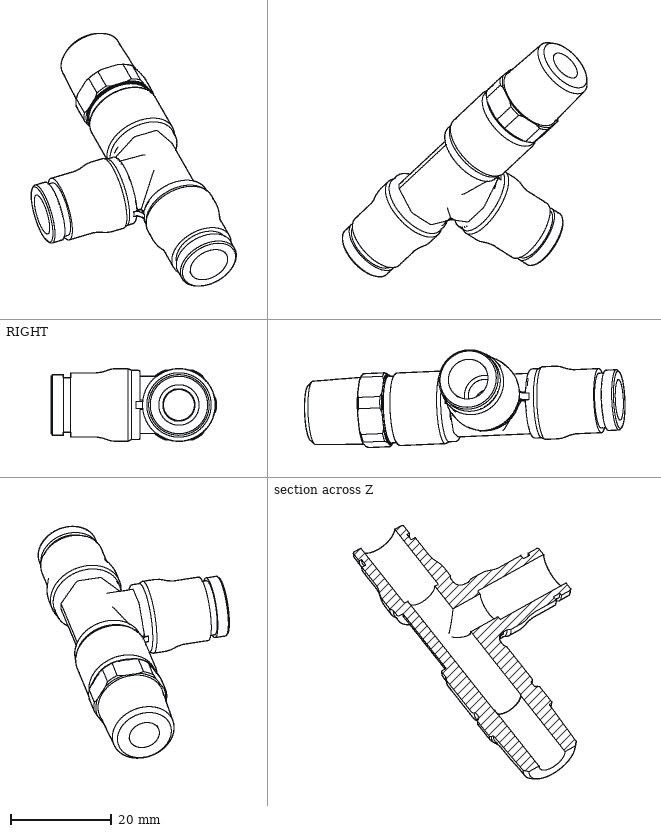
import cadquery as cq
import math

total_length = 62.95
port_reach = 25.5
tee_x = total_length - port_reach

collar_start = 7.75
collar_edge = 0.4
collar_radius = 6.9
sleeve_step_start = 9.45
sleeve_start = 10.2
sleeve_diameter = 14.55
sleeve_radius = sleeve_diameter / 2
taper_start = 12.7
taper_end = 16.5
barrel_radius = 6.4
barrel_end = 21.6
groove_radius = 5.5
head_start = 23.05
head_radius = 6.05
head_chamfer = 0.3
tube_radius = 4.0
tube_depth = 15.75
port_bore_radius = 3.2

stub_chamfer_length = 0.9
stub_face_radius = 5.55
thread_start_radius = 6.35
gauge_x = 5.9
gauge_radius = 6.55
hex_start = 11.1
thread_end_radius = 6.75
hex_end = 16.05
washer_end = 16.3
washer_radius = 6.9
neck_end = 17.7
neck_radius = 6.7
neck_fillet = 0.25
body_rounding = 0.55
stub_bore_radius = 3.1

hex_across_flats = 14.0
hex_corner_radius = 7.5
hex_chamfer = 0.3

web_thickness = 1.4
web_corner_radius = 1.65

bar_half_height = 5.7
bar_flat_half = 2.45
bar_edge_fillet = 0.8
inner_reach = 6.9
inner_side_height = 1.9
back_reach = 5.7
back_side_height = web_thickness


def turned(profile):
    """Revolve a (distance, radius) outline that starts and ends on the axis about X."""
    return profile.close().revolve(360, (0, 0, 0), (1, 0, 0))


def port_body():
    """Push-in port along +X with the tee centre at the origin."""
    profile = (
        cq.Workplane("XY")
        .moveTo(collar_start, 0)
        .lineTo(collar_start, collar_radius - collar_edge)
        .radiusArc((collar_start + collar_edge, collar_radius), collar_edge)
        .lineTo(sleeve_step_start, collar_radius)
        .lineTo(sleeve_start, sleeve_radius)
        .lineTo(taper_start, sleeve_radius)
        .spline([(taper_end, barrel_radius)], tangents=[(1, 0), (1, 0)], includeCurrent=True)
        .lineTo(barrel_end, barrel_radius)
        .lineTo(barrel_end, groove_radius)
        .lineTo(head_start, groove_radius)
        .lineTo(head_start, head_radius)
        .lineTo(port_reach - head_chamfer, head_radius)
        .lineTo(port_reach, head_radius - head_chamfer)
        .lineTo(port_reach, 0)
    )
    return turned(profile)


def port_bore():
    """Tube socket and smaller flow bore of a port, reaching in to the tee centre."""
    flow = cq.Workplane("YZ").circle(port_bore_radius).extrude(port_reach)
    socket = cq.Workplane("YZ").circle(tube_radius).extrude(tube_depth)
    return flow.union(socket.translate((port_reach - tube_depth, 0, 0)))


def on_run(shape):
    return shape.translate((tee_x, 0, 0))


def on_branch(shape):
    return shape.rotate((0, 0, 0), (0, 0, 1), -90).translate((tee_x, 0, 0))


def stub_body():
    """Taper thread, washer face, neck and body on the -X side of the run."""
    profile = (
        cq.Workplane("XY")
        .moveTo(0, 0)
        .lineTo(0, stub_face_radius)
        .lineTo(stub_chamfer_length, thread_start_radius)
        .lineTo(gauge_x, gauge_radius)
        .lineTo(hex_start, thread_end_radius)
        .lineTo(hex_end, thread_end_radius)
        .lineTo(hex_end, washer_radius)
        .lineTo(washer_end, washer_radius)
        .lineTo(washer_end, neck_radius)
        .lineTo(neck_end - neck_fillet, neck_radius)
        .radiusArc((neck_end, neck_radius + neck_fillet), -neck_fillet)
        .radiusArc((neck_end + body_rounding, sleeve_radius), body_rounding)
        .lineTo(tee_x - sleeve_start, sleeve_radius)
        .lineTo(tee_x - sleeve_step_start, collar_radius)
        .lineTo(tee_x - collar_start - collar_edge, collar_radius)
        .radiusArc((tee_x - collar_start, collar_radius - collar_edge), collar_edge)
        .lineTo(tee_x - collar_start, 0)
    )
    return turned(profile)


def stub_bore():
    """Bore from the threaded end, widening to the port bore size beyond the hexagon."""
    narrow = cq.Workplane("YZ").circle(stub_bore_radius).extrude(hex_end)
    wide = cq.Workplane("YZ").workplane(offset=hex_end).circle(port_bore_radius).extrude(tee_x - hex_end)
    return narrow.union(wide)


def hexagon():
    length = hex_end - hex_start
    corner_diameter = hex_across_flats / math.cos(math.pi / 6)
    prism = cq.Workplane("YZ").polygon(6, corner_diameter).extrude(length)
    blank = cq.Workplane("YZ").circle(hex_corner_radius).extrude(length).edges().chamfer(hex_chamfer)
    return prism.intersect(blank).translate((hex_start, 0, 0))


def bar(length, left_reach, left_side_height):
    """Bar along +X from the origin: inner slope on -Y, the given reach and side height on +Y."""
    upper = [
        (left_reach, left_side_height / 2),
        (bar_flat_half, bar_half_height),
        (-bar_flat_half, bar_half_height),
        (-inner_reach, inner_side_height / 2),
    ]
    lower = [(y, -z) for y, z in reversed(upper)]
    solid = cq.Workplane("YZ").polyline(upper + lower).close().extrude(length)
    return solid.edges("|X").edges(">Z or <Z").fillet(bar_edge_fillet)


def run_bar():
    """Bar joining the two collars of the run, with steeper slopes on its back."""
    return bar(2 * collar_start, back_reach, back_side_height).translate((-collar_start, 0, 0))


def branch_bar():
    """Bar from the tee centre to the branch collar, laid along +X."""
    return bar(collar_start, inner_reach, inner_side_height)


def web():
    """Web across both inner corners, each ending in a concave arc tangent to the two collars."""
    reach = collar_radius + web_corner_radius
    plate = (
        cq.Workplane("XY")
        .moveTo(-reach, 0)
        .lineTo(-reach, -collar_radius)
        .radiusArc((-collar_radius, -reach), web_corner_radius)
        .lineTo(collar_radius, -reach)
        .radiusArc((reach, -collar_radius), web_corner_radius)
        .lineTo(reach, 0)
        .close()
    )
    return plate.extrude(web_thickness / 2, both=True)


result = (
    stub_body()
    .union(hexagon())
    .union(on_run(run_bar()))
    .union(on_branch(branch_bar()))
    .union(on_run(web()))
    .union(on_run(port_body()))
    .union(on_branch(port_body()))
    .cut(on_run(port_bore()))
    .cut(on_branch(port_bore()))
    .cut(stub_bore())
)